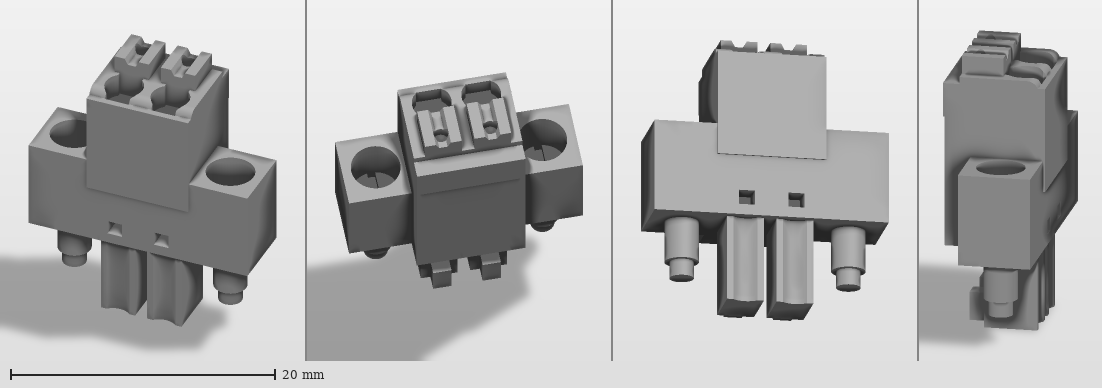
import cadquery as cq
import math


POLE_PITCH = 3.8
SCREW_SPACING = 12.85
POLE_XS = (-POLE_PITCH / 2, POLE_PITCH / 2)
SCREW_XS = (-SCREW_SPACING / 2, SCREW_SPACING / 2)

FLANGE_WIDTH = 18.02
FLANGE_DEPTH = 5.59
FLANGE_HEIGHT = 7.13
FLANGE_FRONT_Y = -FLANGE_DEPTH / 2

TOWER_WIDTH = 8.37
TOWER_FRONT_Y = -2.95
LIP_BACK_Y = 4.95
TOWER_BACK_Y = 4.82
TOP_Z = 13.4
SHOULDER_Z = 12.85
LIP_BOTTOM_Z = 10.19
FRONT_PANEL_BOTTOM_Z = 4.69
CROWN_ROUND_RADIUS = 0.88
CROWN_ROUND_START_Y = -1.56

BUTTON_WIDTH = 2.82
BUTTON_FRONT_Y = 0.45
BUTTON_BACK_Y = 3.65
BUTTON_TOP_Z = 14.8
GROOVE_TOP_WIDTH = 1.15
GROOVE_FLOOR_WIDTH = 0.65
GROOVE_DEPTH = 0.5
PROBE_HOLE_DIAMETER = 1.15
PROBE_HOLE_Y = 2.6
PROBE_HOLE_DEPTH = 1.28

ENTRY_DIAMETER = 3.02
ENTRY_SLOT_WIDTH = 1.97
ENTRY_SLOT_FRONT_Y = -2.45
ENTRY_FLOOR_Z = 11.5

WINDOW_WIDTH = 1.2
WINDOW_HEIGHT = 1.11
WINDOW_BOTTOM_Z = 0.81
WINDOW_DEPTH = 1.71

PRONG_WIDTH = 2.82
PRONG_FRONT_Y = -2.18
PRONG_BACK_Y = 1.93
PRONG_LENGTH = 21.4 - BUTTON_TOP_Z
FLUTE_WIDTH = 1.86
FLUTE_DEPTH = 0.36
CATCH_WIDTH = PRONG_WIDTH / 2
CATCH_BACK_Y = 3.2
CATCH_TOP_Z = -4.07
CATCH_BOTTOM_Z = -6.3

HEAD_DIAMETER = 3.77
HEAD_TOP_Z = 3.42
HEAD_HEIGHT = 1.71
HEAD_SEAT_Z = HEAD_TOP_Z - HEAD_HEIGHT
DRIVE_SLOT_WIDTH = 0.62
DRIVE_SLOT_DEPTH = 0.65
SHANK_DIAMETER = 2.61
SHANK_END_Z = -3.19
TIP_DIAMETER = 1.86
TIP_END_Z = -4.47


def block(width, x, y_range, z_range):
    """Box of the given width centred on x, spanning y_range and z_range."""
    depth = y_range[1] - y_range[0]
    height = z_range[1] - z_range[0]
    box = cq.Workplane("XY").box(width, depth, height, centered=(True, False, False))
    return box.translate((x, y_range[0], z_range[0]))


def cylinder(diameter, x, y, z_range):
    """Upright cylinder on the axis (x, y), spanning z_range."""
    base = cq.Workplane("XY", origin=(x, y, z_range[0]))
    return base.circle(diameter / 2).extrude(z_range[1] - z_range[0])


def tower():
    """Central tower: its side profile with the rounded crown, extruded across the width."""
    round_center_z = TOP_Z - CROWN_ROUND_RADIUS
    end_angle = math.asin((SHOULDER_Z - round_center_z) / CROWN_ROUND_RADIUS)
    mid_angle = (math.pi / 2 + end_angle) / 2

    def round_point(angle):
        y = CROWN_ROUND_START_Y - CROWN_ROUND_RADIUS * math.cos(angle)
        return y, round_center_z + CROWN_ROUND_RADIUS * math.sin(angle)

    profile = (
        cq.Workplane("YZ", origin=(-TOWER_WIDTH / 2, 0, 0))
        .moveTo(FLANGE_FRONT_Y, 0)
        .lineTo(TOWER_BACK_Y, 0)
        .lineTo(TOWER_BACK_Y, LIP_BOTTOM_Z)
        .lineTo(LIP_BACK_Y, LIP_BOTTOM_Z)
        .lineTo(LIP_BACK_Y, SHOULDER_Z)
        .lineTo(BUTTON_BACK_Y, SHOULDER_Z)
        .lineTo(BUTTON_BACK_Y, TOP_Z)
        .lineTo(CROWN_ROUND_START_Y, TOP_Z)
        .threePointArc(round_point(mid_angle), round_point(end_angle))
        .lineTo(TOWER_FRONT_Y, SHOULDER_Z)
        .lineTo(TOWER_FRONT_Y, FRONT_PANEL_BOTTOM_Z)
        .lineTo(FLANGE_FRONT_Y, FRONT_PANEL_BOTTOM_Z)
        .close()
    )
    return profile.extrude(TOWER_WIDTH)


def prong(x):
    """Plug prong with a shallow round flute in front and a narrower catch at the back."""
    flute_edge = FLUTE_WIDTH / 2
    outline = (
        cq.Workplane("XY", origin=(x, 0, -PRONG_LENGTH))
        .moveTo(-PRONG_WIDTH / 2, PRONG_FRONT_Y)
        .lineTo(-flute_edge, PRONG_FRONT_Y)
        .threePointArc((0, PRONG_FRONT_Y + FLUTE_DEPTH), (flute_edge, PRONG_FRONT_Y))
        .lineTo(PRONG_WIDTH / 2, PRONG_FRONT_Y)
        .lineTo(PRONG_WIDTH / 2, PRONG_BACK_Y)
        .lineTo(-PRONG_WIDTH / 2, PRONG_BACK_Y)
        .close()
    )
    catch = block(CATCH_WIDTH, x, (PRONG_BACK_Y, CATCH_BACK_Y), (CATCH_BOTTOM_Z, CATCH_TOP_Z))
    return outline.extrude(PRONG_LENGTH).union(catch)


def button_seat(x):
    """Space in the tower that one release button fills."""
    return block(BUTTON_WIDTH, x, (BUTTON_FRONT_Y, BUTTON_BACK_Y), (ENTRY_FLOOR_Z, BUTTON_TOP_Z))


def wire_entry(x):
    """Round wire entry, crossed by a slot that reaches the button."""
    center_y = (ENTRY_SLOT_FRONT_Y + BUTTON_FRONT_Y) / 2
    slot_y_range = (ENTRY_SLOT_FRONT_Y, BUTTON_FRONT_Y)
    z_range = (ENTRY_FLOOR_Z, TOP_Z)
    bounds = block(ENTRY_DIAMETER, x, slot_y_range, z_range)
    bore = cylinder(ENTRY_DIAMETER, x, center_y, z_range).intersect(bounds)
    return bore.union(block(ENTRY_SLOT_WIDTH, x, slot_y_range, z_range))


def test_window(x):
    """Rectangular blind window in the front face."""
    y_range = (FLANGE_FRONT_Y, FLANGE_FRONT_Y + WINDOW_DEPTH)
    return block(WINDOW_WIDTH, x, y_range, (WINDOW_BOTTOM_Z, WINDOW_BOTTOM_Z + WINDOW_HEIGHT))


def screw_hole(x):
    """Counterbored hole through a flange."""
    counterbore = cylinder(HEAD_DIAMETER, x, 0, (HEAD_SEAT_Z, FLANGE_HEIGHT))
    return counterbore.union(cylinder(SHANK_DIAMETER, x, 0, (0, HEAD_SEAT_Z)))


def make_housing():
    flange_y_range = (FLANGE_FRONT_Y, -FLANGE_FRONT_Y)
    body = tower().union(block(FLANGE_WIDTH, 0, flange_y_range, (0, FLANGE_HEIGHT)))
    for x in POLE_XS:
        body = body.union(prong(x))
        body = body.cut(button_seat(x)).cut(wire_entry(x)).cut(test_window(x))
    for x in SCREW_XS:
        body = body.cut(screw_hole(x))
    return body


def make_button(x):
    """Release button with a flared groove along its top and a probe hole in the groove."""
    groove_floor_z = BUTTON_TOP_Z - GROOVE_DEPTH
    groove = (
        cq.Workplane("XZ", origin=(x, BUTTON_BACK_Y, 0))
        .moveTo(-GROOVE_TOP_WIDTH / 2, BUTTON_TOP_Z)
        .lineTo(-GROOVE_FLOOR_WIDTH / 2, groove_floor_z)
        .lineTo(GROOVE_FLOOR_WIDTH / 2, groove_floor_z)
        .lineTo(GROOVE_TOP_WIDTH / 2, BUTTON_TOP_Z)
        .close()
        .extrude(BUTTON_BACK_Y - BUTTON_FRONT_Y)
    )
    probe_z_range = (BUTTON_TOP_Z - PROBE_HOLE_DEPTH, BUTTON_TOP_Z)
    probe_hole = cylinder(PROBE_HOLE_DIAMETER, x, PROBE_HOLE_Y, probe_z_range)
    return button_seat(x).cut(groove).cut(probe_hole)


def make_screw(x):
    """Slotted flange screw with a stepped shank."""
    head = cylinder(HEAD_DIAMETER, x, 0, (HEAD_SEAT_Z, HEAD_TOP_Z))
    shank = cylinder(SHANK_DIAMETER, x, 0, (SHANK_END_Z, HEAD_SEAT_Z))
    tip = cylinder(TIP_DIAMETER, x, 0, (TIP_END_Z, SHANK_END_Z))
    slot_y_range = (-HEAD_DIAMETER / 2, HEAD_DIAMETER / 2)
    slot = block(DRIVE_SLOT_WIDTH, x, slot_y_range, (HEAD_TOP_Z - DRIVE_SLOT_DEPTH, HEAD_TOP_Z))
    return head.union(shank).union(tip).cut(slot)


housing = make_housing()
buttons = [make_button(x) for x in POLE_XS]
screws = [make_screw(x) for x in SCREW_XS]

result = cq.Compound.makeCompound(
    [housing.val()] + [button.val() for button in buttons] + [screw.val() for screw in screws]
)